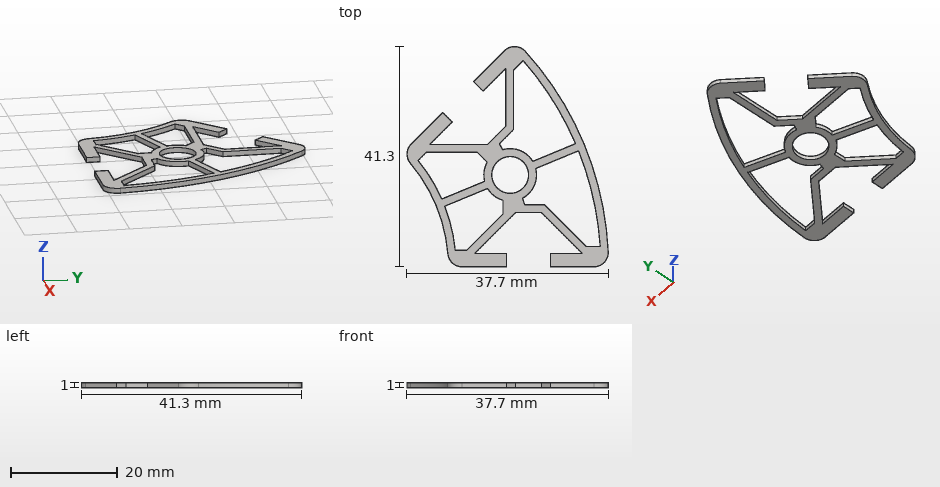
import cadquery as cq
import math

SECTOR_ANGLE = 45.0
HALF_ANGLE = SECTOR_ANGLE / 2
THICKNESS = 1.0

INNER_RADIUS = 30.0
OUTER_RADIUS = 60.0
CORNER_RADIUS = 2.72
WALL = 1.5

MID_RADIUS = (INNER_RADIUS + OUTER_RADIUS) / 2
HUB_RADIUS = 4.95
BORE_RADIUS = 3.42

SLOT_OPENING = 8.15
LIP = 2.55
SLOT_DEPTH = 10.2
SLOT_FLOOR_HALF = 2.4

INNER_POCKET_BASE = 3.15
OUTER_POCKET_BASE = 3.85
POST_INNER_X = 40.2
POST_OUTER_X = 44.3
POST_LEAN = 17.5
POST_OVERLAP = 2.47


def polar(radius, angle):
    """Point at a distance and an angle in degrees from the apex."""
    turn = math.radians(angle)
    return (radius * math.cos(turn), radius * math.sin(turn))


HUB_CENTER = polar(MID_RADIUS, HALF_ANGLE)


def prism(points):
    return cq.Workplane("XY").polyline(points).close().extrude(THICKNESS)


def disc(radius, center=(0, 0)):
    return cq.Workplane("XY").center(*center).circle(radius).extrude(THICKNESS)


def mirrored(body):
    """Mirror a body about the bisector of the sector."""
    flipped = body.mirror("XZ")
    return flipped.rotate((0, 0, 0), (0, 0, 1), SECTOR_ANGLE)


def sector_plate():
    """Solid sector with its four corners rounded."""
    plate = (
        cq.Workplane("XY")
        .moveTo(INNER_RADIUS, 0)
        .lineTo(OUTER_RADIUS, 0)
        .threePointArc(polar(OUTER_RADIUS, HALF_ANGLE), polar(OUTER_RADIUS, SECTOR_ANGLE))
        .lineTo(*polar(INNER_RADIUS, SECTOR_ANGLE))
        .threePointArc(polar(INNER_RADIUS, HALF_ANGLE), (INNER_RADIUS, 0))
        .close()
        .extrude(THICKNESS)
    )
    return plate.edges("|Z").fillet(CORNER_RADIUS)


def slot():
    """Slot in the side on +X: narrow mouth opening into a tapered cavity."""
    mouth_half = SLOT_OPENING / 2
    cavity_half = SLOT_FLOOR_HALF + SLOT_DEPTH - LIP
    right_side = [
        (mouth_half, 0),
        (mouth_half, LIP),
        (cavity_half, LIP),
        (SLOT_FLOOR_HALF, SLOT_DEPTH),
    ]
    left_side = [(-x, y) for x, y in reversed(right_side)]
    return prism([(MID_RADIUS + x, y) for x, y in right_side + left_side])


RIB_TOP = SLOT_DEPTH + WALL
RIB_TOP_HALF = SLOT_FLOOR_HALF + WALL * math.tan(math.radians(HALF_ANGLE))


def flank_offset(y):
    """Distance from the slot centre to the rib's outer face at height y."""
    return RIB_TOP_HALF + RIB_TOP - y


def inner_pocket():
    """Area between the apex and the hub, above the slot rib."""
    flank_start = MID_RADIUS - flank_offset(INNER_POCKET_BASE)
    flank_end_y = INNER_POCKET_BASE + POST_INNER_X - flank_start
    return prism([
        (0, 0),
        (INNER_RADIUS, INNER_POCKET_BASE),
        (flank_start, INNER_POCKET_BASE),
        (POST_INNER_X, flank_end_y),
        (POST_INNER_X, HUB_CENTER[1]),
        HUB_CENTER,
    ])


def outer_pocket():
    """Area between the hub and the outer wall, above the slot rib."""
    post_shift = POST_OVERLAP * math.tan(math.radians(POST_LEAN))
    return prism([
        HUB_CENTER,
        (POST_OUTER_X - post_shift, RIB_TOP + POST_OVERLAP),
        (POST_OUTER_X, RIB_TOP),
        (MID_RADIUS + RIB_TOP_HALF, RIB_TOP),
        (MID_RADIUS + flank_offset(OUTER_POCKET_BASE), OUTER_POCKET_BASE),
        (OUTER_RADIUS, OUTER_POCKET_BASE),
        polar(OUTER_RADIUS + CORNER_RADIUS, HALF_ANGLE),
    ])


def pocket(area):
    """Trim a pocket area to leave the curved walls, the hub and the spoke."""
    between_walls = disc(OUTER_RADIUS - WALL).cut(disc(INNER_RADIUS + WALL))
    spoke = (
        cq.Workplane("XY")
        .rect(2 * OUTER_RADIUS, WALL)
        .extrude(THICKNESS)
        .rotate((0, 0, 0), (0, 0, 1), HALF_ANGLE)
    )
    return area.intersect(between_walls).cut(disc(HUB_RADIUS, HUB_CENTER)).cut(spoke)


result = sector_plate().cut(disc(BORE_RADIUS, HUB_CENTER))
for opening in (slot(), pocket(inner_pocket()), pocket(outer_pocket())):
    result = result.cut(opening).cut(mirrored(opening))